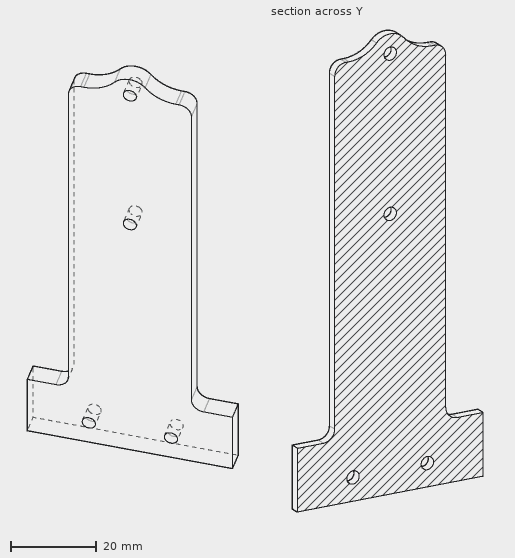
import cadquery as cq
import math

thickness = 5.0
base_width = 50.0
base_height = 16.0
stem_width = 30.0
shoulder_height = 110.0

root_radius = 3.0
corner_radius = 3.0
crown_radius = 5.0
sweep_radius = 10.0

hole_diameter = 3.2
base_hole_spacing = 20.0
base_hole_height = 6.0
middle_hole_height = 70.0
crown_hole_height = shoulder_height

half_base = base_width / 2
half_stem = stem_width / 2
crown_top = shoulder_height + crown_radius

sweep_start_x = math.sqrt((sweep_radius + crown_radius) ** 2 - sweep_radius**2)
sweep_angle = math.atan2(sweep_radius, sweep_start_x)
sweep_middle_angle = (math.pi / 2 + sweep_angle) / 2
crown_end_x = crown_radius * math.cos(sweep_angle)
crown_end_z = shoulder_height + crown_radius * math.sin(sweep_angle)
sweep_middle_x = sweep_start_x - sweep_radius * math.cos(sweep_middle_angle)
sweep_middle_z = shoulder_height + sweep_radius * (1 - math.sin(sweep_middle_angle))


def make_plate():
    """T-shaped plate with a rounded crown, centred on X and Y, standing on Z = 0."""
    outline = (
        cq.Workplane("XZ")
        .moveTo(-half_base, 0)
        .lineTo(half_base, 0)
        .lineTo(half_base, base_height)
        .lineTo(half_stem, base_height)
        .lineTo(half_stem, shoulder_height)
        .lineTo(sweep_start_x, shoulder_height)
        .threePointArc((sweep_middle_x, sweep_middle_z), (crown_end_x, crown_end_z))
        .threePointArc((0, crown_top), (-crown_end_x, crown_end_z))
        .threePointArc((-sweep_middle_x, sweep_middle_z), (-sweep_start_x, shoulder_height))
        .lineTo(-half_stem, shoulder_height)
        .lineTo(-half_stem, base_height)
        .lineTo(-half_base, base_height)
        .close()
    )
    return outline.extrude(thickness / 2, both=True)


def round_stem_edges(plate, height, radius):
    """Round the left and right stem edges found at the given height."""
    points = [(side * half_stem, 0, height) for side in (-1, 1)]
    for point in points:
        plate = plate.edges(cq.selectors.NearestToPointSelector(point)).fillet(radius)
    return plate


def cut_holes(plate):
    """Drill two mounting holes in the base and two on the stem centre line."""
    hole_places = [
        (-base_hole_spacing / 2, base_hole_height),
        (base_hole_spacing / 2, base_hole_height),
        (0, middle_hole_height),
        (0, crown_hole_height),
    ]
    drills = (
        cq.Workplane("XZ")
        .pushPoints(hole_places)
        .circle(hole_diameter / 2)
        .extrude(thickness, both=True)
    )
    return plate.cut(drills)


plate = make_plate()
plate = round_stem_edges(plate, base_height, root_radius)
plate = round_stem_edges(plate, shoulder_height, corner_radius)
result = cut_holes(plate)